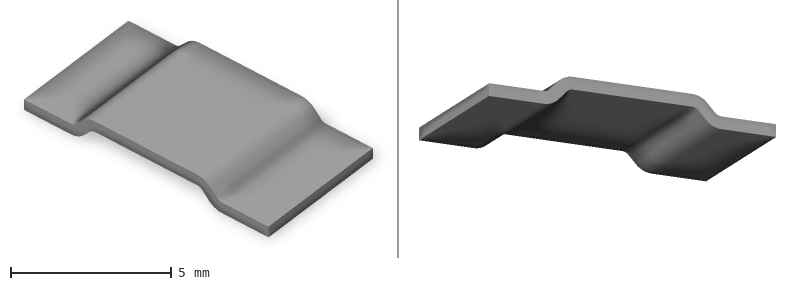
import cadquery as cq
import math

length = 9.93
width = 5.10
height = 1.02

thickness = 0.42
ramp_angle = math.radians(46)
inner_radius = 0.30
outer_radius = inner_radius + thickness
raised_length = 4.12
end_face_lean = 0.01

step = height - thickness
bend_run = (inner_radius + outer_radius) * math.sin(ramp_angle)
bend_rise = (inner_radius + outer_radius) * (1 - math.cos(ramp_angle))
straight_rise = step - bend_rise
ramp_run = bend_run + straight_rise / math.tan(ramp_angle)

end_x = length / 2
upper_bend_x = raised_length / 2
lower_bend_x = upper_bend_x + ramp_run

upper_center_z = height - outer_radius
lower_center_z = outer_radius


def bend_point(center_x, center_z, radius, side, vertical, angle):
    """Point on a bend at an angle from its vertical; side and vertical are +1 or -1."""
    return (
        center_x + side * radius * math.sin(angle),
        center_z + vertical * radius * math.cos(angle),
    )


def upper_bend(side, radius, angle):
    return bend_point(side * upper_bend_x, upper_center_z, radius, side, 1, angle)


def lower_bend(side, radius, angle):
    return bend_point(side * lower_bend_x, lower_center_z, radius, -side, -1, angle)


def add_bend(outline, bend, side, radius, start_angle, stop_angle):
    """Go straight to the start of a bend, then follow its arc to the end."""
    middle_angle = (start_angle + stop_angle) / 2
    return outline.lineTo(*bend(side, radius, start_angle)).threePointArc(
        bend(side, radius, middle_angle),
        bend(side, radius, stop_angle),
    )


def make_strip():
    left = -1
    right = 1
    outline = cq.Workplane("XZ", origin=(0, width / 2, 0)).moveTo(-end_x, 0)

    outline = add_bend(outline, lower_bend, left, outer_radius, 0, ramp_angle)
    outline = add_bend(outline, upper_bend, left, inner_radius, ramp_angle, 0)
    outline = add_bend(outline, upper_bend, right, inner_radius, 0, ramp_angle)
    outline = add_bend(outline, lower_bend, right, outer_radius, ramp_angle, 0)

    outline = outline.lineTo(end_x, 0).lineTo(end_x - end_face_lean, thickness)

    outline = add_bend(outline, lower_bend, right, inner_radius, 0, ramp_angle)
    outline = add_bend(outline, upper_bend, right, outer_radius, ramp_angle, 0)
    outline = add_bend(outline, upper_bend, left, outer_radius, 0, ramp_angle)
    outline = add_bend(outline, lower_bend, left, inner_radius, ramp_angle, 0)
    outline = outline.lineTo(-end_x, thickness).close()
    return outline.extrude(width)


result = make_strip()